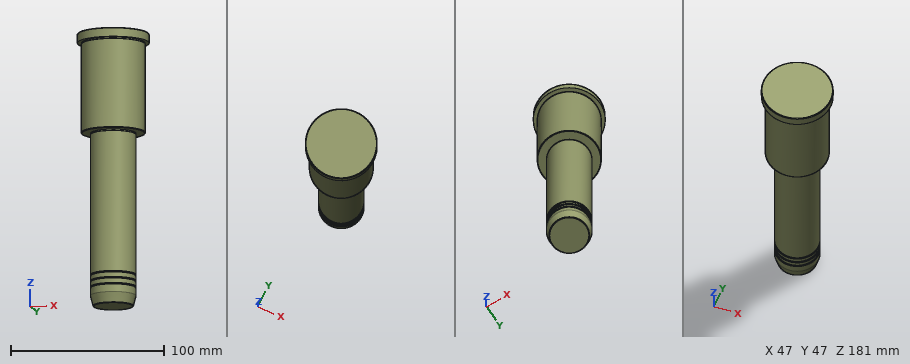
import cadquery as cq
import math

total_length = 181.0
head_height = 6.0
body_length = 60.0
tip_length = 7.0

head_radius = 47.0 / 2
body_radius = 42.0 / 2
pin_radius = 30.0 / 2
tip_angle = 15.0

edge_chamfer = 0.5
tip_end_chamfer = 0.5
undercut_height = 1.0
undercut_depth = 0.2
undercut_slope_height = 0.2

groove_count = 3
groove_width = 1.0
groove_floor_width = 0.4
groove_depth = 0.5
groove_pitch = 4.0
lowest_groove_height = 12.5

body_top = total_length - head_height
body_bottom = body_top - body_length


def make_cylinder(radius, bottom, length):
    """Solid cylinder on the Z axis starting at the given height."""
    return cq.Workplane("XY").workplane(offset=bottom).circle(radius).extrude(length)


def make_head():
    """Flange at the top with a chamfered upper rim."""
    return make_cylinder(head_radius, body_top, head_height).faces(">Z").edges().chamfer(edge_chamfer)


def make_body():
    """Thick shank below the head with a chamfered lower rim."""
    return make_cylinder(body_radius, body_bottom, body_length).faces("<Z").edges().chamfer(edge_chamfer)


def make_pin():
    """Slim pin with a conical lead-in tip and a chamfered end."""
    tip_end_radius = pin_radius - (tip_length - tip_end_chamfer) * math.tan(math.radians(tip_angle))
    profile = (
        cq.Workplane("XZ")
        .lineTo(tip_end_radius - tip_end_chamfer, 0)
        .lineTo(tip_end_radius, tip_end_chamfer)
        .lineTo(pin_radius, tip_length)
        .lineTo(pin_radius, body_bottom)
        .lineTo(0, body_bottom)
        .close()
    )
    return profile.revolve(360, (0, 0, 0), (0, 1, 0))


def make_groove(height):
    """Ring that cuts a trapezoidal groove into the pin, centred on the given height."""
    half_width = groove_width / 2
    half_floor = groove_floor_width / 2
    section = (
        cq.Workplane("XZ")
        .moveTo(pin_radius, height - half_width)
        .lineTo(pin_radius - groove_depth, height - half_floor)
        .lineTo(pin_radius - groove_depth, height + half_floor)
        .lineTo(pin_radius, height + half_width)
        .close()
    )
    return section.revolve(360, (0, 0, 0), (0, 1, 0))


def make_undercut(radius, shoulder_height):
    """Ring that cuts a shallow relief below a shoulder, sloping back out at its lower end."""
    floor_radius = radius - undercut_depth
    section = (
        cq.Workplane("XZ")
        .moveTo(radius, shoulder_height)
        .lineTo(floor_radius, shoulder_height)
        .lineTo(floor_radius, shoulder_height - undercut_height + undercut_slope_height)
        .lineTo(radius, shoulder_height - undercut_height)
        .close()
    )
    return section.revolve(360, (0, 0, 0), (0, 1, 0))


pin = make_pin()
for index in range(groove_count):
    pin = pin.cut(make_groove(lowest_groove_height + index * groove_pitch))

pin = pin.cut(make_undercut(pin_radius, body_bottom))
body = make_body().cut(make_undercut(body_radius, body_top))

result = make_head().union(body).union(pin)